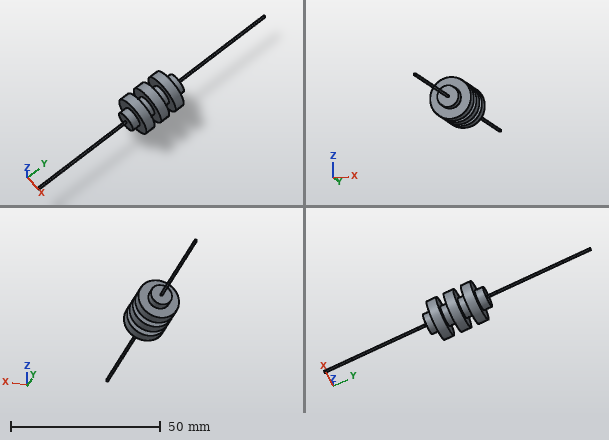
import cadquery as cq

overall_length = 98.425
core_length = 22.225
lead_diameter = 0.8128
core_diameter = 7.366
winding_diameter = 14.224

winding_count = 3
winding_width = 3.556
winding_pitch = 6.35


def cylinder_along_y(diameter, length, center_y=0.0):
    """Solid cylinder on the Y axis, centred at center_y."""
    start_plane = cq.Workplane("XZ", origin=(0, center_y + length / 2, 0))
    return start_plane.circle(diameter / 2).extrude(length)


leads = cylinder_along_y(lead_diameter, overall_length)
core = cylinder_along_y(core_diameter, core_length)
result = core.union(leads)

for index in range(winding_count):
    winding_y = (index - (winding_count - 1) / 2) * winding_pitch
    result = result.union(cylinder_along_y(winding_diameter, winding_width, winding_y))